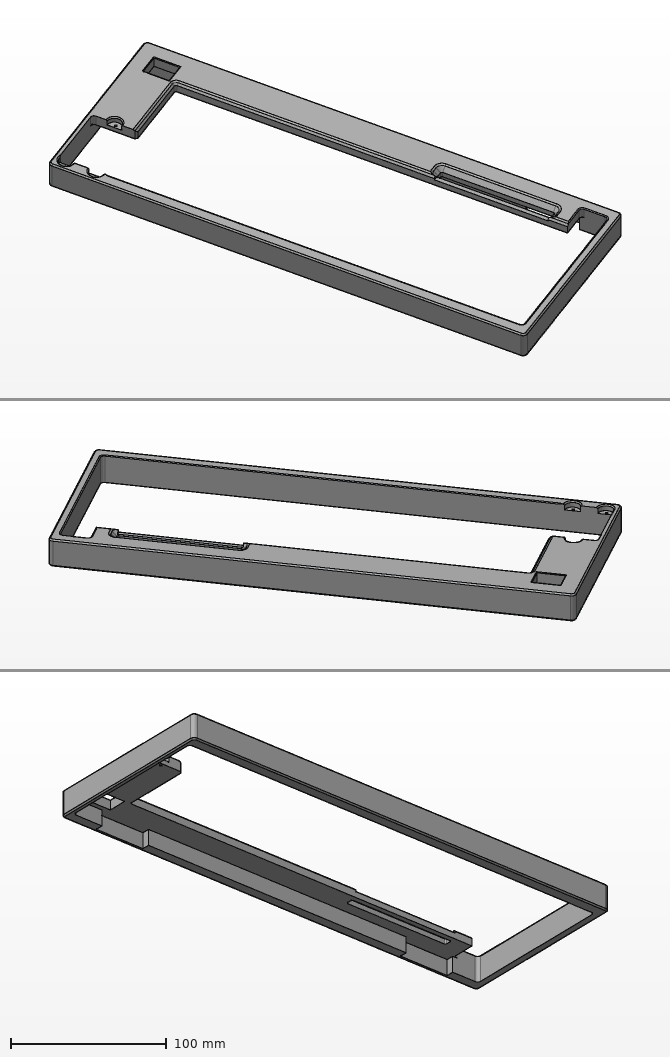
import cadquery as cq

LENGTH = 348.0
WIDTH = 133.0
HEIGHT = 19.5
CORNER_RADIUS = 3.0
EDGE_CHAMFER = 1.0

DECK_THICKNESS = 7.5
DECK_FRONT_Y = WIDTH - 26.5
BLOCK_RIGHT_X = 36.0
BLOCK_FRONT_Y = 54.3
DECK_CORNER_RADIUS = 1.5
BLOCK_BEVEL = 1.5

LEFT_WALL = 3.5
RIGHT_WALL = 6.0
FRONT_WALL = 8.5
REAR_WALL = 8.5
INNER_RADIUS = 2.5

WINDOW_RIGHT_X = 37.5
NOTCH_LEFT_X = 322.0

OPENING_OVERLAP_X = 334.0
OPENING_OVERLAP_Y = 34.8

RIM_FACET = (0.87, 0.45)
SHALLOW_FACET = (1.5, 0.7)
DECK_FACET = (1.5, 1.5)
SLOT_FACET = (3.0, 3.0)
RIM_FACETS = [RIM_FACET]
DECK_FACETS = [SHALLOW_FACET, DECK_FACET]
SLOT_FACETS = [SHALLOW_FACET, SLOT_FACET]

SLOT_LEFT_X = 224.8
SLOT_RIGHT_X = 307.5
SLOT_FRONT_Y = WIDTH - 22.5
SLOT_REAR_Y = WIDTH - 17.0
SLOT_RADIUS = 1.0
SLOT_LIP_DROP = 3.0

PORT_LEFT_X = 12.5
PORT_RIGHT_X = 31.3
PORT_FRONT_Y = WIDTH - 26.0
PORT_REAR_Y = WIDTH - 12.0
PORT_CHAMFER = 0.52

RECESS_START_X = 27.0
RECESS_LENGTH = 39.0
RECESS_WALL = 2.8

SEAT_RADIUS = 5.2
SEAT_CHAMFER = 0.87
SEAT_DEPTH = 4.2
SCREW_DIAMETER = 1.6
SCREW_INSET = 2.0
BLOCK_SEAT_X = 19.5
FRONT_SEAT_XS = (9.0, 31.0)

CLEARANCE = 1.7


def block(x0, y0, x1, y1, z0, z1):
    """Box given by two opposite corners."""
    return cq.Workplane("XY").box(x1 - x0, y1 - y0, z1 - z0, centered=False).translate((x0, y0, z0))


def rounded_block(x0, y0, x1, y1, z0, z1, radius):
    """Box with rounded vertical edges; a zero radius leaves them sharp."""
    body = block(x0, y0, x1, y1, z0, z1)
    return body.edges("|Z").fillet(radius) if radius else body


def flared_cutter(x0, y0, x1, y1, radius, facets):
    """Full-height rounded cutter whose sides widen towards the top in sloped facets."""
    cutter = rounded_block(x0, y0, x1, y1, 0, HEIGHT, radius)
    spread = sum(width for width, depth in facets)
    top = HEIGHT
    for width, depth in facets:
        rim_radius = radius + spread if radius else 0
        frustum = (
            rounded_block(
                x0 - spread, y0 - spread, x1 + spread, y1 + spread,
                top - depth, HEIGHT + CLEARANCE, rim_radius,
            )
            .faces("<Z").chamfer(depth, width)
        )
        cutter = cutter.union(frustum)
        spread -= width
        top -= depth
    return cutter


def frame_blank():
    """Outer body with rounded corners and chamfered top and bottom edges."""
    body = block(0, 0, LENGTH, WIDTH, 0, HEIGHT).edges("|Z").fillet(CORNER_RADIUS)
    return body.faces("<Z or >Z").chamfer(EDGE_CHAMFER)


def underside_cavity():
    """Rectangular hollow below the deck, leaving only the outer walls."""
    ceiling = HEIGHT - DECK_THICKNESS
    return rounded_block(
        LEFT_WALL, FRONT_WALL, LENGTH - RIGHT_WALL, WIDTH - REAR_WALL, 0, ceiling, INNER_RADIUS
    )


def main_opening():
    """Large opening bounded by the deck, with a two-facet edge along the deck."""
    deck_side = flared_cutter(
        BLOCK_RIGHT_X, OPENING_OVERLAP_Y, OPENING_OVERLAP_X, DECK_FRONT_Y, DECK_CORNER_RADIUS, DECK_FACETS
    )
    wall_side = flared_cutter(
        WINDOW_RIGHT_X, FRONT_WALL, LENGTH - RIGHT_WALL, DECK_FRONT_Y, INNER_RADIUS, RIM_FACETS
    )
    notch = flared_cutter(
        NOTCH_LEFT_X, OPENING_OVERLAP_Y, LENGTH - RIGHT_WALL, WIDTH - REAR_WALL, INNER_RADIUS, RIM_FACETS
    )
    return deck_side.union(wall_side).union(notch)


def left_window():
    """Plain window between the left block and the front wall."""
    right = WINDOW_RIGHT_X + INNER_RADIUS
    window = block(LEFT_WALL, FRONT_WALL, right, BLOCK_FRONT_Y, 0, HEIGHT + CLEARANCE)
    return window.edges("|Z and <X").fillet(INNER_RADIUS)


def slot():
    """Long slot whose flare runs out through the lowered front lip of the deck."""
    opening = flared_cutter(SLOT_LEFT_X, SLOT_FRONT_Y, SLOT_RIGHT_X, SLOT_REAR_Y, SLOT_RADIUS, SLOT_FACETS)
    lip_top = HEIGHT - SLOT_LIP_DROP
    above_lip = block(SLOT_LEFT_X, DECK_FRONT_Y, SLOT_RIGHT_X, SLOT_REAR_Y, lip_top, HEIGHT + CLEARANCE)
    return opening.union(above_lip)


def port():
    """Rectangular port through the deck with a chamfered rim."""
    rim_facets = [(PORT_CHAMFER, PORT_CHAMFER)]
    return flared_cutter(PORT_LEFT_X, PORT_FRONT_Y, PORT_RIGHT_X, PORT_REAR_Y, 0, rim_facets)


def rear_recess(x):
    """Recess in the inner side of the rear wall, starting at x."""
    inner_face = WIDTH - REAR_WALL
    outer_face = WIDTH - RECESS_WALL
    return block(x, inner_face - CLEARANCE, x + RECESS_LENGTH, outer_face, 0, HEIGHT - DECK_THICKNESS)


def block_bevel():
    """Wedge that bevels the free front corner of the left block."""
    wedge = cq.Workplane("XY").moveTo(BLOCK_RIGHT_X, BLOCK_FRONT_Y)
    wedge = wedge.line(-BLOCK_BEVEL, 0).line(BLOCK_BEVEL, BLOCK_BEVEL).close()
    return wedge.extrude(HEIGHT)


def screw_seat(x, edge_y, inward):
    """Half-round seat centred on an edge, with a chamfered rim and a screw hole set inward (+1 or -1)."""
    floor = HEIGHT - SEAT_DEPTH
    seat = cq.Workplane("XY").circle(SEAT_RADIUS).extrude(SEAT_DEPTH)
    rim = cq.Workplane("XY").workplane(offset=SEAT_DEPTH - SEAT_CHAMFER).circle(SEAT_RADIUS)
    rim = rim.workplane(offset=SEAT_CHAMFER).circle(SEAT_RADIUS + SEAT_CHAMFER).loft()
    hole = cq.Workplane("XY").center(0, inward * SCREW_INSET).circle(SCREW_DIAMETER / 2)
    hole = hole.extrude(SEAT_DEPTH - DECK_THICKNESS)
    return seat.union(rim).union(hole).translate((x, edge_y, floor))


result = frame_blank().cut(underside_cavity())
result = result.cut(main_opening()).cut(left_window()).cut(block_bevel())
for recess_x in (RECESS_START_X, LENGTH - RECESS_START_X - RECESS_LENGTH):
    result = result.cut(rear_recess(recess_x))
result = result.cut(slot()).cut(port())
result = result.cut(screw_seat(BLOCK_SEAT_X, BLOCK_FRONT_Y, 1))
for seat_x in FRONT_SEAT_XS:
    result = result.cut(screw_seat(seat_x, FRONT_WALL, -1))